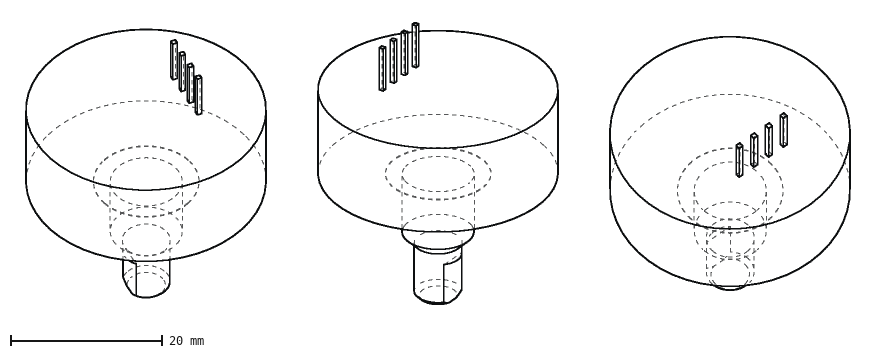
import cadquery as cq

overall_height = 37.52
body_diameter = 31.75
body_height = 12.7

pin_length = 6.35
pin_width = 0.65
pin_pitch = 2.55
pin_count = 4
pin_row_x = -0.35
pin_row_y = 6.05

collar_diameter = 13.95
collar_height = 0.1

bushing_diameter = 9.53
bushing_length = 8.9

shaft_diameter = 6.35
shaft_chamfer = 0.65

flat_offset = 2.4
flat_length = 6.35

bushing_radius = bushing_diameter / 2
shaft_radius = shaft_diameter / 2
taper_length = bushing_radius - shaft_radius
shaft_tip_z = body_height + pin_length - overall_height


def make_body():
    """Round housing with a thin collar around the bushing."""
    housing = cq.Workplane("XY").circle(body_diameter / 2).extrude(body_height)
    collar = cq.Workplane("XY").circle(collar_diameter / 2).extrude(-collar_height)
    return housing.union(collar)


def make_bushing_and_shaft():
    """Stepped profile revolved about Z."""
    taper_top_z = -bushing_length
    taper_bottom_z = taper_top_z - taper_length
    return (
        cq.Workplane("XZ")
        .moveTo(0, 0)
        .lineTo(bushing_radius, 0)
        .lineTo(bushing_radius, taper_top_z)
        .lineTo(shaft_radius, taper_bottom_z)
        .lineTo(shaft_radius, shaft_tip_z + shaft_chamfer)
        .lineTo(shaft_radius - shaft_chamfer, shaft_tip_z)
        .lineTo(0, shaft_tip_z)
        .close()
        .revolve(360, (0, 0, 0), (0, 1, 0))
    )


def make_flat_cutter():
    """Block that removes the -Y side of the shaft end."""
    return (
        cq.Workplane("XY")
        .box(shaft_diameter, shaft_radius, flat_length, centered=(True, False, False))
        .translate((0, -flat_offset - shaft_radius, shaft_tip_z))
    )


def make_pins():
    """Row of square pins along X on the upper face."""
    return (
        cq.Workplane("XY", origin=(pin_row_x, pin_row_y, body_height))
        .rarray(pin_pitch, 0.38, pin_count, 1)
        .rect(pin_width, pin_width)
        .extrude(pin_length)
    )


shaft = make_bushing_and_shaft().cut(make_flat_cutter())
result = make_body().union(shaft).union(make_pins())